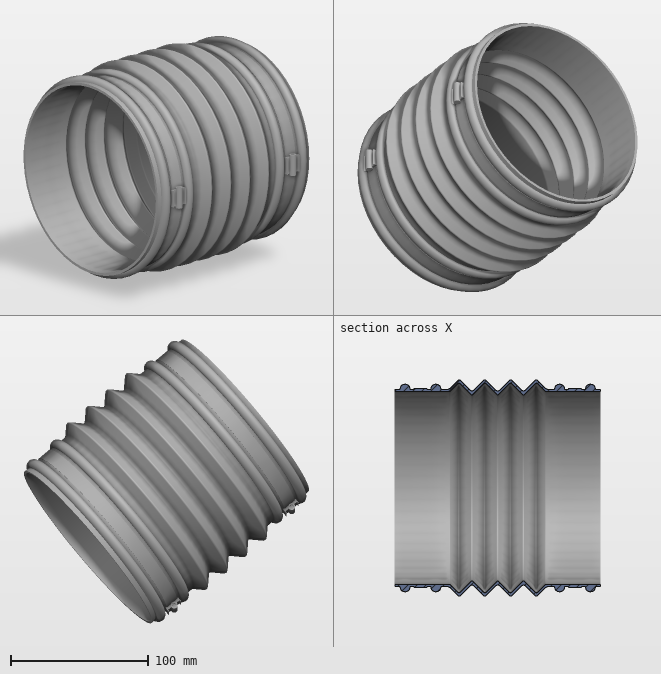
import cadquery as cq
import math

LENGTH = 150.0
TUBE_RADIUS = 144.0 / 2
BORE_RADIUS = 140.0 / 2
WALL = TUBE_RADIUS - BORE_RADIUS

PEAK_COUNT = 4
PEAK_RADIUS = 79.0
PITCH = LENGTH / 8
FLANK_ANGLE = math.radians(45)
PEAK_ROUND = 1.1
VALLEY_ROUND = 2.2
INNER_ROUND = 1.0
CUFF_ROUND = 2.8
INNER_CUFF_ROUND = 1.6

BEAD_RADIUS = 3.8
BEAD_OFFSETS = (7.6, 30.0)

CLAMP_OFFSET = sum(BEAD_OFFSETS) / len(BEAD_OFFSETS)
BAND_WIDTH = 10.0
BAND_THICKNESS = 0.5
HOUSING_WIDTH = 12.0
HOUSING_HEIGHT = 12.6
HOUSING_OUTER_X = 74.0
LIP_OUTER_X = 75.3
LIP_THICKNESS = 0.5
SCREW_RADIUS = 2.5
SCREW_X = 74.5
SCREW_LENGTH = 15.8
SOCKET_DIAMETER = 3.2
SOCKET_DEPTH = 1.6


def bellows_corners(apex_radius, cuff_radius, valley_round, cuff_round):
    """Sharp corners (radius, y, rounding) of one bellows surface, end to end."""
    slope = math.tan(FLANK_ANGLE)
    valley_radius = apex_radius - slope * PITCH / 2
    first_peak = -PITCH * (PEAK_COUNT - 1) / 2
    start = first_peak - (apex_radius - cuff_radius) / slope
    corners = [(cuff_radius, -LENGTH / 2, 0), (cuff_radius, start, cuff_round)]
    for i in range(PEAK_COUNT):
        peak = first_peak + i * PITCH
        corners.append((apex_radius, peak, PEAK_ROUND))
        if i < PEAK_COUNT - 1:
            corners.append((valley_radius, peak + PITCH / 2, valley_round))
    corners += [(cuff_radius, -start, cuff_round), (cuff_radius, LENGTH / 2, 0)]
    return corners


def revolved_solid(corners):
    """Solid of revolution about Y whose outline corners are tangent arcs."""
    profile = cq.Workplane("XY").moveTo(0, -LENGTH / 2).lineTo(*corners[0][:2])
    for before, corner, after in zip(corners, corners[1:], corners[2:]):
        point = cq.Vector(*corner[:2])
        back = (cq.Vector(*before[:2]) - point).normalized()
        ahead = (cq.Vector(*after[:2]) - point).normalized()
        half_angle = back.getAngle(ahead) / 2
        rounding = corner[2]
        tangent_length = rounding / math.tan(half_angle)
        arc_depth = rounding / math.sin(half_angle) - rounding
        arc_start = point + back * tangent_length
        arc_middle = point + (back + ahead).normalized() * arc_depth
        arc_end = point + ahead * tangent_length
        profile = profile.lineTo(arc_start.x, arc_start.y)
        profile = profile.threePointArc((arc_middle.x, arc_middle.y), (arc_end.x, arc_end.y))
    profile = profile.lineTo(*corners[-1][:2]).lineTo(0, LENGTH / 2).close()
    return profile.revolve(360, (0, 0), (0, 1))


def bead(y):
    """Half-round ring standing on the cuff."""
    return (
        cq.Workplane("XY")
        .moveTo(TUBE_RADIUS, y - BEAD_RADIUS)
        .threePointArc((TUBE_RADIUS + BEAD_RADIUS, y), (TUBE_RADIUS, y + BEAD_RADIUS))
        .lineTo(TUBE_RADIUS - WALL / 2, y + BEAD_RADIUS)
        .lineTo(TUBE_RADIUS - WALL / 2, y - BEAD_RADIUS)
        .close()
        .revolve(360, (0, 0), (0, 1))
    )


def block(outer_x, width, y):
    """Block from inside the sleeve wall out to outer_x, centred on y."""
    inner_x = TUBE_RADIUS - WALL / 2
    return cq.Workplane("XY").box(outer_x - inner_x, width, HOUSING_HEIGHT).translate(
        ((outer_x + inner_x) / 2, y, 0)
    )


def clamp(y):
    """Band around the cuff, with a lipped screw housing on the +X side."""
    band = (
        cq.Workplane("XZ", origin=(0, y + BAND_WIDTH / 2, 0))
        .circle(TUBE_RADIUS + BAND_THICKNESS)
        .circle(TUBE_RADIUS - WALL / 2)
        .extrude(BAND_WIDTH)
    )
    body = band.union(block(HOUSING_OUTER_X, HOUSING_WIDTH, y))
    lip_shift = (HOUSING_WIDTH - LIP_THICKNESS) / 2
    for side in (-1, 1):
        body = body.union(block(LIP_OUTER_X, LIP_THICKNESS, y + side * lip_shift))
    screw = (
        cq.Workplane("XY", origin=(SCREW_X, y, -SCREW_LENGTH / 2))
        .circle(SCREW_RADIUS)
        .extrude(SCREW_LENGTH)
        .faces(">Z")
        .workplane()
        .polygon(6, SOCKET_DIAMETER)
        .cutBlind(-SOCKET_DEPTH)
    )
    return body.union(screw)


outer_apex = PEAK_RADIUS + PEAK_ROUND * (1 / math.cos(FLANK_ANGLE) - 1)
inner_apex = outer_apex - WALL / math.cos(FLANK_ANGLE)

result = revolved_solid(bellows_corners(outer_apex, TUBE_RADIUS, VALLEY_ROUND, CUFF_ROUND))
for end in (-1, 1):
    for offset in BEAD_OFFSETS:
        result = result.union(bead(end * (LENGTH / 2 - offset)))
    result = result.union(clamp(end * (LENGTH / 2 - CLAMP_OFFSET)))

result = result.cut(
    revolved_solid(bellows_corners(inner_apex, BORE_RADIUS, INNER_ROUND, INNER_CUFF_ROUND))
)